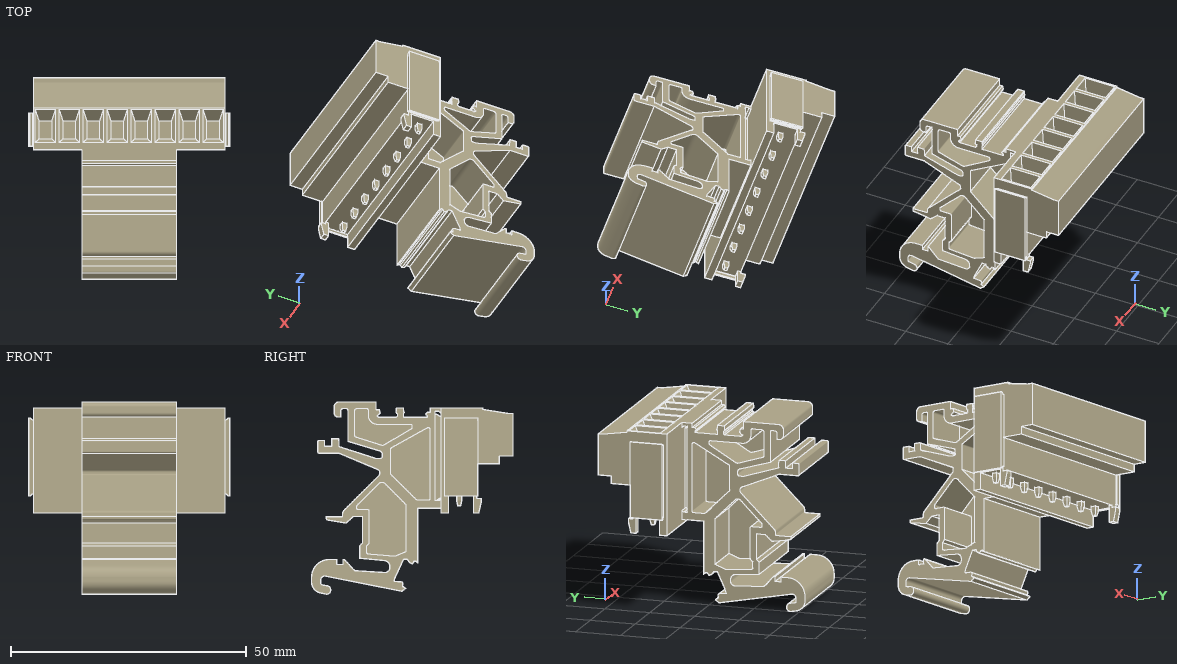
import cadquery as cq
import math


POLES = 8
PITCH = 5.08
HEADER_LENGTH = POLES * PITCH
HEADER_END = HEADER_LENGTH / 2

HEADER_BACK = 15.3
TOP_LEDGE = 8.92
TOP_STEP = 0.3
SLOPE_BACK = 14.25
SLOPE_BOTTOM = -1.15
BACK_BOTTOM = -10.2
NECK_BACK = 12.4
NECK_BOTTOM = -11.85
SOCKET_BACK = 7.62
SOCKET_BOTTOM = -18.72
FRONT_WALL = 1.66
WALL_BOTTOM = -22.32

LATCH_LENGTH = 1.54
LATCH_FRONT = 6.9
LATCH_TIP_BACK = 8.05
LATCH_NOSE_BACK = 8.6
LATCH_NOSE_TOP = -19.2
LATCH_NOSE_BOTTOM = -19.9

FUNNEL_DEPTH = 5.4
FUNNEL_FRONT = 1.58
FUNNEL_BACK = 8.56
FUNNEL_WIDTH = 4.3
FUNNEL_FLOOR_FRONT = 2.33
FUNNEL_FLOOR_BACK = 6.17
FUNNEL_FLOOR_WIDTH = 2.7

RAIL_LIP = 0.3
RAIL_ROOT = 0.2
RAIL_UNDERCUT = 0.45
END_RAIL_HEIGHT = 1.0
END_RAIL_FRONT = 0.73
END_RAIL_BACK = 7.86
END_RAIL_TOP = -2.1
END_RAIL_BOTTOM = SOCKET_BOTTOM
FRONT_RAIL_LENGTH = 16.0
FRONT_RAIL_TOP = -1.32
FRONT_RAIL_BOTTOM = -19.63

PIN_SIZE = 1.1
PIN_TIP_SIZE = 0.65
PIN_CENTRE = 3.88
PIN_EMBEDDED = 3.0
PIN_SHOULDER = -19.73
PIN_TIP = -20.75

FOOT_LENGTH = 20.1
FOOT_WEB = 1.0
RECESS_DEPTH = 1.2
RECESS_TOP = -0.76
RECESS_LIP = 0.42
BACK_WALL_FRONT = -2.3
PLATE_TOP = -1.97
BAR_TOP = 1.3
BAR_UNDERSIDE = -0.15
POST_FRONT = -19.75
LEG_BACK = -4.87
LEG_TOP = -21.28
LEG_FRONT = -16.66
LEG_STEP_FRONT = -17.24
ARM_TIP = -26.13
ARM_BOTTOM = -9.62
ARM_NOTCH = -8.13
BLADE_TOP = -23.08
JAW_TOP = -32.12
FOOT_FRONT = -27.45

TOP_EDGE = [
    (0, 0), (BACK_WALL_FRONT, 0), (BACK_WALL_FRONT, -0.91),
    (-2.85, -0.91), (-3.27, -1.3), (-2.9, -1.72), (-2.9, PLATE_TOP),
    (-7.92, PLATE_TOP), (-7.92, -1.15), (-7.77, -0.95), (-7.92, -0.5), (-7.92, 0),
    (-9.45, 0), (-9.55, -0.94), (-9.25, -1.3), (-9.25, -1.72), (-9.5, PLATE_TOP),
    (-13.2, PLATE_TOP), (-13.55, -1.75), (-12.85, -1.12), (-13.05, -0.36), (-13.73, -0.36),
]
CLAMP_BAR = [
    (-13.73, BAR_TOP), (-22.65, BAR_TOP, 1.1), (-22.65, PLATE_TOP, 0.9), (-21.2, PLATE_TOP),
    (-21.2, BAR_UNDERSIDE, 0.5), (POST_FRONT, BAR_UNDERSIDE, 0.3), (POST_FRONT, -7.12),
]
SPRING_ARM = [
    (-12.46, -9.3, 0.6), (-12.46, -10.72, 0.4), (-13.7, -10.72, 0.3), (-21.56, -8.2), (-21.62, -6.53, 0.2),
    (-23.16, -6.53), (-23.16, ARM_NOTCH), (-24.64, ARM_NOTCH), (-24.64, -6.89),
    (ARM_TIP, -6.89, 0.3), (ARM_TIP, ARM_BOTTOM, 0.3), (-21.65, ARM_BOTTOM),
]
BLADE = [
    (-13.0, -13.25, 0.6), (-13.0, -14.2, 0.6), (-20.85, -22.0, 1.0), (-20.9, BLADE_TOP, 0.2),
    (-24.31, BLADE_TOP), (-24.31, -23.75, 0.3), (-20.1, -24.45), (-18.6, BLADE_TOP), (LEG_FRONT, BLADE_TOP),
    (LEG_FRONT, -28.65), (LEG_STEP_FRONT, -29.25), (LEG_STEP_FRONT, -31.9),
]
JAW = [
    (-10.85, -32.5, 1.2), (-10.85, -34.95, 1.0), (-18.3, -34.48, 0.3), (-20.45, JAW_TOP, 0.2),
    (-20.78, JAW_TOP), (-20.78, -33.17), (-22.07, -33.17), (-22.07, JAW_TOP),
    (FOOT_FRONT, JAW_TOP, 3.8), (FOOT_FRONT, -38.85, 2.4), (-23.35, -39.72, 0.85), (-23.35, -37.85, 0.8),
    (-25.43, -37.45, 0.3), (-25.43, -35.5, 0.8),
]
HEEL = [
    (-8.3, -38.9), (-7.45, -38.25), (-8.15, -37.8), (-7.95, -36.9, 0.4), (-9.9, -36.75), (-9.75, -36.1),
    (-7.9, JAW_TOP), (-7.1, JAW_TOP), (-6.65, -32.8), (-6.05, -33.1), (-5.7, -32.55), (-5.35, -32.5),
    (LEG_BACK, -32.9), (LEG_BACK, LEG_TOP), (0, LEG_TOP),
]
RECESS = [
    (0, -19.35), (-RECESS_LIP, FRONT_RAIL_BOTTOM), (-RECESS_DEPTH, FRONT_RAIL_BOTTOM),
    (-RECESS_DEPTH, RECESS_TOP), (-RECESS_LIP, RECESS_TOP), (0, -1.15),
]
FOOT_OUTLINE = TOP_EDGE + CLAMP_BAR + SPRING_ARM + BLADE + JAW + HEEL + RECESS

BACK_CAVITY = [
    (BACK_WALL_FRONT, -3.9, 0.4), (-10.67, -8.55, 0.3), (-10.67, -14.05), (-5.1, -19.56),
    (BACK_WALL_FRONT, -19.56, 0.3),
]
TOP_CAVITY = [
    (-6.1, -3.48, 0.3), (-15.4, -3.48, 1.9), (-15.4, BAR_UNDERSIDE, 0.3), (-18.3, BAR_UNDERSIDE, 0.5),
    (-18.3, -6.1, 0.4), (-12.3, -8.0, 0.7), (-6.1, -4.35, 0.4),
]
LEG_CAVITY = [
    (-12.5, -15.4, 0.9), (-17.85, -20.75, 0.2), (-17.85, -21.58, 0.3), (-15.21, -21.58, 0.3),
    (-15.21, -28.7), (-15.78, -29.3), (-15.78, -30.95, 0.4), (-9.77, -31.45, 1.0), (-7.41, -30.5),
    (-7.41, -20.5),
]


def rounded_outline(corners):
    """Closed profile across X through the corners, with an arc at each corner that has a radius."""
    profile = cq.Workplane("YZ")
    for i, corner in enumerate(corners):
        here = cq.Vector(*corner[:2])
        to_last = (cq.Vector(*corners[i - 1][:2]) - here).normalized()
        to_next = (cq.Vector(*corners[(i + 1) % len(corners)][:2]) - here).normalized()
        radius = corner[2] if len(corner) > 2 else 0
        half_angle = to_last.getAngle(to_next) / 2
        tangent_length = radius / math.tan(half_angle)
        start = here + to_last * tangent_length
        end = here + to_next * tangent_length
        profile = profile.moveTo(start.x, start.y) if i == 0 else profile.lineTo(start.x, start.y)
        if radius:
            to_arc = radius / math.sin(half_angle) - radius
            middle = here + (to_last + to_next).normalized() * to_arc
            profile = profile.threePointArc((middle.x, middle.y), (end.x, end.y))
    return profile.close()


def make_foot():
    foot = rounded_outline(FOOT_OUTLINE).extrude(FOOT_LENGTH / 2, both=True)
    for cavity in (BACK_CAVITY, TOP_CAVITY, LEG_CAVITY):
        web = rounded_outline(cavity).extrude(FOOT_WEB / 2, both=True)
        opening = rounded_outline(cavity).extrude(FOOT_LENGTH / 2, both=True)
        foot = foot.cut(opening.cut(web))
    return foot


def make_header_block():
    outline = [
        (0, 0), (TOP_LEDGE, 0), (TOP_LEDGE, -TOP_STEP), (SLOPE_BACK, SLOPE_BOTTOM),
        (HEADER_BACK, SLOPE_BOTTOM), (HEADER_BACK, BACK_BOTTOM), (NECK_BACK, BACK_BOTTOM),
        (NECK_BACK, NECK_BOTTOM), (SOCKET_BACK, NECK_BOTTOM), (SOCKET_BACK, SOCKET_BOTTOM),
        (FRONT_WALL, SOCKET_BOTTOM), (FRONT_WALL, WALL_BOTTOM), (0, WALL_BOTTOM),
    ]
    return cq.Workplane("YZ").polyline(outline).close().extrude(HEADER_END, both=True)


def make_latch(start_x):
    outline = [
        (LATCH_FRONT, SOCKET_BOTTOM), (LATCH_FRONT, WALL_BOTTOM), (LATCH_TIP_BACK, WALL_BOTTOM),
        (LATCH_NOSE_BACK, LATCH_NOSE_BOTTOM), (LATCH_NOSE_BACK, LATCH_NOSE_TOP),
        (SOCKET_BACK, LATCH_NOSE_TOP), (SOCKET_BACK, SOCKET_BOTTOM),
    ]
    return cq.Workplane("YZ", origin=(start_x, 0, 0)).polyline(outline).close().extrude(LATCH_LENGTH)


def make_funnel(x):
    """Tapered wire opening, from its mouth in the top face down to its smaller floor."""
    mouth_y = (FUNNEL_FRONT + FUNNEL_BACK) / 2
    floor_y = (FUNNEL_FLOOR_FRONT + FUNNEL_FLOOR_BACK) / 2
    return (
        cq.Workplane("XY")
        .center(x, mouth_y)
        .rect(FUNNEL_WIDTH, FUNNEL_BACK - FUNNEL_FRONT)
        .workplane(offset=-FUNNEL_DEPTH)
        .center(0, floor_y - mouth_y)
        .rect(FUNNEL_FLOOR_WIDTH, FUNNEL_FLOOR_BACK - FUNNEL_FLOOR_FRONT)
        .loft(ruled=True)
    )


def rail_outline(top, bottom, height):
    """Dovetail cross-section: (distance out from the header, z)."""
    return [
        (0, top - RAIL_UNDERCUT), (RAIL_ROOT, top - RAIL_UNDERCUT), (height - RAIL_LIP, top), (height, top),
        (height, bottom), (height - RAIL_LIP, bottom), (RAIL_ROOT, bottom + RAIL_UNDERCUT),
        (0, bottom + RAIL_UNDERCUT),
    ]


def make_end_rail(side):
    section = rail_outline(END_RAIL_TOP, END_RAIL_BOTTOM, END_RAIL_HEIGHT)
    outline = [(side * (HEADER_END + out), z) for out, z in section]
    plane = cq.Workplane("XZ", origin=(0, END_RAIL_BACK, 0))
    return plane.polyline(outline).close().extrude(END_RAIL_BACK - END_RAIL_FRONT)


def make_front_rail():
    section = rail_outline(FRONT_RAIL_TOP, FRONT_RAIL_BOTTOM, RECESS_DEPTH)
    outline = [(-out, z) for out, z in section]
    return cq.Workplane("YZ").polyline(outline).close().extrude(FRONT_RAIL_LENGTH / 2, both=True)


def make_pin(x):
    shaft_top = SOCKET_BOTTOM + PIN_EMBEDDED
    shaft = (
        cq.Workplane("XY", origin=(x, PIN_CENTRE, PIN_SHOULDER))
        .rect(PIN_SIZE, PIN_SIZE)
        .extrude(shaft_top - PIN_SHOULDER)
    )
    tip = (
        cq.Workplane("XY", origin=(x, PIN_CENTRE, PIN_SHOULDER))
        .rect(PIN_SIZE, PIN_SIZE)
        .workplane(offset=PIN_TIP - PIN_SHOULDER)
        .rect(PIN_TIP_SIZE, PIN_TIP_SIZE)
        .loft(ruled=True)
    )
    return shaft.union(tip)


pole_positions = [(i - (POLES - 1) / 2) * PITCH for i in range(POLES)]
pins = [make_pin(x) for x in pole_positions]

housing = make_header_block()
for x in pole_positions:
    housing = housing.cut(make_funnel(x))
for side in (-1, 1):
    housing = housing.union(make_end_rail(side))
for start_x in (-HEADER_END, HEADER_END - LATCH_LENGTH):
    housing = housing.union(make_latch(start_x))
housing = housing.union(make_front_rail()).union(make_foot())
for pin in pins:
    housing = housing.cut(pin)

result = cq.Compound.makeCompound([housing.val(), *[pin.val() for pin in pins]])